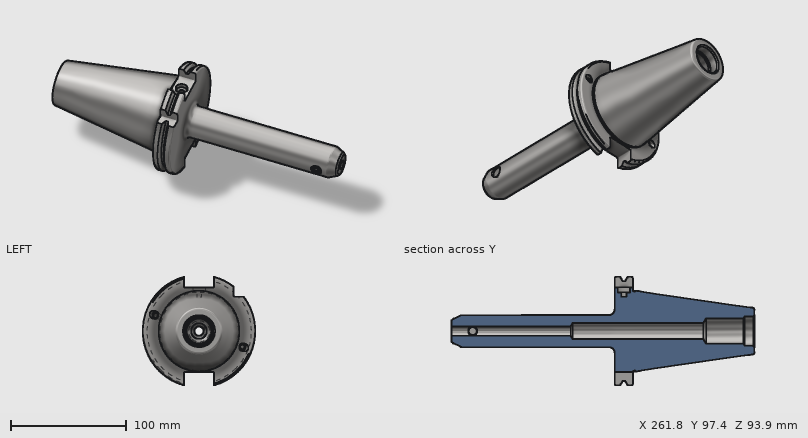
import cadquery as cq
import math

TOTAL_LENGTH = 261.8
GAUGE_X = 101.8
UNDERCUT_X = 103.5
FLANGE_START = 105.0
FLANGE_END = 121.0
TIP_CONE_START = 253.0
TIP_CONE_END = 260.2

TAPER_RATIO = 7 / 24
GAUGE_RADIUS = 70.0 / 2
SMALL_END_RADIUS = GAUGE_RADIUS - GAUGE_X * TAPER_RATIO / 2
SMALL_END_FILLET = 2.0
UNDERCUT_RADIUS = 34.0
FLANGE_RADIUS = 48.7
FLANGE_FILLET = 1.5
SHANK_RADIUS = 28.0 / 2
SHANK_FILLET = 4.7
TIP_RADIUS = 10.7
TIP_SHOULDER_FILLET = 2.5
TIP_CHAMFER = TOTAL_LENGTH - TIP_CONE_END

GROOVE_CENTER = 112.8
GROOVE_HALF_WIDTH = 3.1
GROOVE_DEPTH = 3.7
GROOVE_WALL_ANGLE = math.radians(30)
GROOVE_FLOOR_HALF = GROOVE_HALF_WIDTH - GROOVE_DEPTH * math.tan(GROOVE_WALL_ANGLE)

SLOT_WIDTH = 25.7
UPPER_SLOT_FLOOR = 37.7
LOWER_SLOT_FLOOR = 35.3
CUTOUT_CORNER_FILLET = 0.8
NOTCH_CORNER = 29.8

SLOT_HOLE_X = GROOVE_CENTER
SLOT_RECESS_RADIUS = 5.2
SLOT_RECESS_DEPTH = 4.2
SLOT_PILOT_RADIUS = 2.0
SLOT_PILOT_DEPTH = 7.9

COOLANT_MOUTH_RADIUS = 3.5
COOLANT_MOUTH_DEPTH = 3.1
COOLANT_RADIUS = 2.0
COOLANT_PITCH_RADIUS = 41.4
COOLANT_POSITION_ANGLE = 20.0
COOLANT_TILT = math.radians(30)
COOLANT_DEPTH = 10.5

MOUTH_RADIUS = 14.0
MOUTH_CHAMFER = 1.3
THREAD_LEAD_IN = 1.0
COUNTERBORE_DEPTH = 8.6
THREAD_RADIUS = 10.7
THREAD_END = 42.0
CHANNEL_RADIUS = 6.8
CHANNEL_END = 157.0
TOOL_BORE_RADIUS = 4.0
DRILL_POINT_ANGLE = math.radians(59)

SCREW_X = 243.5
SCREW_RADIUS = 4.0
SCREW_HEAD_Y = -13.3
SCREW_TIP_Y = -4.2
SCREW_CHAMFER = 0.5
SOCKET_ACROSS_FLATS = 4.0
SOCKET_DEPTH = 3.5
SINK_RADIUS = 5.0
SINK_DEPTH = SINK_RADIUS - SCREW_RADIUS

RECESS_X = 241.3
RECESS_RADIUS = 5.0
RECESS_DEPTH = 2.0


def revolve_about_x(profile):
    """Turn a closed profile of (x, radius) once around the X axis."""
    return profile.close().revolve(360, (0, 0, 0), (1, 0, 0))


def taper_body():
    taper = revolve_about_x(
        cq.Workplane("XY")
        .lineTo(0, SMALL_END_RADIUS)
        .lineTo(GAUGE_X, GAUGE_RADIUS)
        .lineTo(UNDERCUT_X, GAUGE_RADIUS)
        .lineTo(UNDERCUT_X, UNDERCUT_RADIUS)
        .lineTo(FLANGE_START, GAUGE_RADIUS)
        .lineTo(FLANGE_START, 0)
    )
    return taper.faces("<X").edges().fillet(SMALL_END_FILLET)


def flange_body():
    disc = (
        cq.Workplane("YZ", origin=(FLANGE_START, 0, 0))
        .circle(FLANGE_RADIUS)
        .extrude(FLANGE_END - FLANGE_START)
        .edges("%CIRCLE")
        .fillet(FLANGE_FILLET)
    )
    floor_radius = FLANGE_RADIUS - GROOVE_DEPTH
    groove = revolve_about_x(
        cq.Workplane("XY")
        .moveTo(GROOVE_CENTER - GROOVE_HALF_WIDTH, FLANGE_RADIUS)
        .lineTo(GROOVE_CENTER - GROOVE_FLOOR_HALF, floor_radius)
        .lineTo(GROOVE_CENTER + GROOVE_FLOOR_HALF, floor_radius)
        .lineTo(GROOVE_CENTER + GROOVE_HALF_WIDTH, FLANGE_RADIUS)
    )
    return disc.cut(groove)


def shank_body():
    """Shank with its concave root at the flange and its conical tip."""
    root_radius = SHANK_RADIUS + SHANK_FILLET
    diagonal = SHANK_FILLET * math.sqrt(0.5)
    arc_middle = (FLANGE_END + SHANK_FILLET - diagonal, root_radius - diagonal)
    shank = revolve_about_x(
        cq.Workplane("XY")
        .moveTo(FLANGE_END, 0)
        .lineTo(FLANGE_END, root_radius)
        .threePointArc(arc_middle, (FLANGE_END + SHANK_FILLET, SHANK_RADIUS))
        .lineTo(TIP_CONE_START, SHANK_RADIUS)
        .lineTo(TIP_CONE_END, TIP_RADIUS)
        .lineTo(TOTAL_LENGTH, TIP_RADIUS - TIP_CHAMFER)
        .lineTo(TOTAL_LENGTH, 0)
    )
    shoulder = cq.selectors.BoxSelector(
        (TIP_CONE_START - TIP_CHAMFER, -TOTAL_LENGTH, -TOTAL_LENGTH),
        (TIP_CONE_START + TIP_CHAMFER, TOTAL_LENGTH, TOTAL_LENGTH),
    )
    return shank.edges(shoulder).edges("%CIRCLE").fillet(TIP_SHOULDER_FILLET)


def flange_cutouts():
    """Two drive slots of unequal depth and one orientation notch."""
    length = FLANGE_END - FLANGE_START
    blank = cq.Workplane("XY", origin=(FLANGE_START, 0, 0))
    slot = blank.box(length, SLOT_WIDTH, FLANGE_RADIUS, centered=(False, True, False))
    slot = slot.edges("|X").fillet(CUTOUT_CORNER_FILLET)
    notch = blank.box(length, FLANGE_RADIUS, FLANGE_RADIUS, centered=False)
    notch = notch.edges("|X").fillet(CUTOUT_CORNER_FILLET)
    return (
        slot.translate((0, 0, UPPER_SLOT_FLOOR))
        .union(slot.translate((0, 0, -LOWER_SLOT_FLOOR - FLANGE_RADIUS)))
        .union(notch.translate((0, -NOTCH_CORNER - FLANGE_RADIUS, NOTCH_CORNER)))
    )


def slot_hole():
    floor = cq.Workplane("XY", origin=(SLOT_HOLE_X, 0, UPPER_SLOT_FLOOR))
    recess = floor.circle(SLOT_RECESS_RADIUS).extrude(-SLOT_RECESS_DEPTH)
    pilot = floor.circle(SLOT_PILOT_RADIUS).extrude(-SLOT_PILOT_DEPTH)
    return recess.union(pilot)


def coolant_hole(position_angle):
    """Blind hole from the flange face, leaning inward toward the axis."""
    direction = cq.Vector(math.cos(COOLANT_TILT), -math.sin(COOLANT_TILT), 0)
    mouth = cq.Vector(FLANGE_START, COOLANT_PITCH_RADIUS, 0)
    lead_in = COOLANT_MOUTH_RADIUS
    start = mouth - direction * lead_in
    wide = cq.Solid.makeCylinder(COOLANT_MOUTH_RADIUS, lead_in + COOLANT_MOUTH_DEPTH, start, direction)
    narrow = cq.Solid.makeCylinder(COOLANT_RADIUS, lead_in + COOLANT_DEPTH, start, direction)
    drill = cq.Workplane(wide).union(cq.Workplane(narrow))
    return drill.rotate((0, 0, 0), (1, 0, 0), position_angle)


def central_bore():
    counterbore_radius = MOUTH_RADIUS - MOUTH_CHAMFER
    thread_cone = (THREAD_RADIUS - CHANNEL_RADIUS) / math.tan(DRILL_POINT_ANGLE)
    channel_cone = (CHANNEL_RADIUS - TOOL_BORE_RADIUS) / math.tan(DRILL_POINT_ANGLE)
    return revolve_about_x(
        cq.Workplane("XY")
        .lineTo(0, MOUTH_RADIUS)
        .lineTo(MOUTH_CHAMFER, counterbore_radius)
        .lineTo(COUNTERBORE_DEPTH, counterbore_radius)
        .lineTo(COUNTERBORE_DEPTH, THREAD_RADIUS + THREAD_LEAD_IN)
        .lineTo(COUNTERBORE_DEPTH + THREAD_LEAD_IN, THREAD_RADIUS)
        .lineTo(THREAD_END, THREAD_RADIUS)
        .lineTo(THREAD_END + thread_cone, CHANNEL_RADIUS)
        .lineTo(CHANNEL_END, CHANNEL_RADIUS)
        .lineTo(CHANNEL_END + channel_cone, TOOL_BORE_RADIUS)
        .lineTo(TOTAL_LENGTH, TOOL_BORE_RADIUS)
        .lineTo(TOTAL_LENGTH, 0)
    )


def screw_hole():
    """Radial hole from the -Y side into the tool bore, countersunk at its mouth."""
    hole = cq.Workplane("XZ", origin=(SCREW_X, 0, 0)).circle(SCREW_RADIUS).extrude(SHANK_RADIUS)
    sink = cq.Workplane(
        cq.Solid.makeCone(
            SINK_RADIUS, SCREW_RADIUS, SINK_DEPTH, cq.Vector(SCREW_X, -SHANK_RADIUS, 0), cq.Vector(0, 1, 0)
        )
    )
    return hole.union(sink)


def shank_recess():
    floor = cq.Workplane("XZ", origin=(RECESS_X, SHANK_RADIUS - RECESS_DEPTH, 0))
    return floor.circle(RECESS_RADIUS).extrude(-RECESS_DEPTH)


def make_holder():
    holder = taper_body().union(flange_body()).union(shank_body())
    holder = holder.cut(flange_cutouts()).cut(slot_hole())
    for side in (0, 180):
        holder = holder.cut(coolant_hole(side + COOLANT_POSITION_ANGLE))
    return holder.cut(central_bore()).cut(screw_hole()).cut(shank_recess())


def make_clamping_screw():
    head = cq.Workplane("XZ", origin=(SCREW_X, SCREW_HEAD_Y, 0))
    screw = (
        head.circle(SCREW_RADIUS)
        .extrude(SCREW_HEAD_Y - SCREW_TIP_Y)
        .edges("%CIRCLE")
        .chamfer(SCREW_CHAMFER)
    )
    socket = head.polygon(6, SOCKET_ACROSS_FLATS, circumscribed=True).extrude(-SOCKET_DEPTH)
    return screw.cut(socket)


holder = make_holder()
clamping_screw = make_clamping_screw()
result = cq.Compound.makeCompound([holder.val(), clamping_screw.val()])